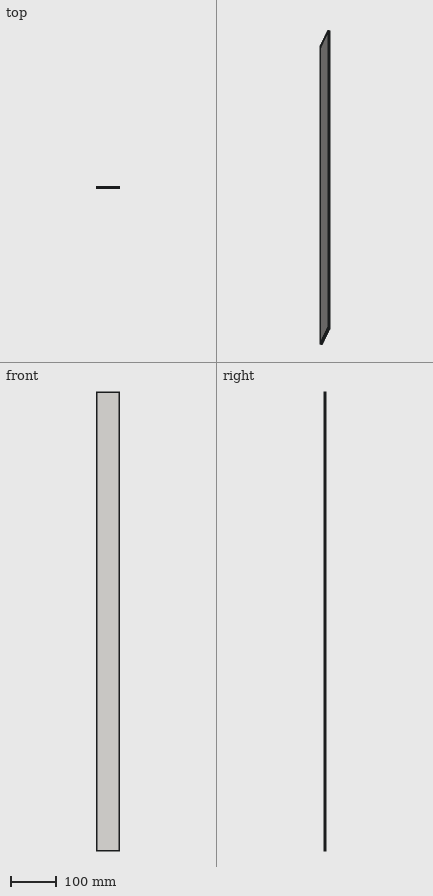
import cadquery as cq

width = 50.0
thickness = 4.0
length = 1000.0

result = cq.Workplane("XY").box(width, thickness, length)